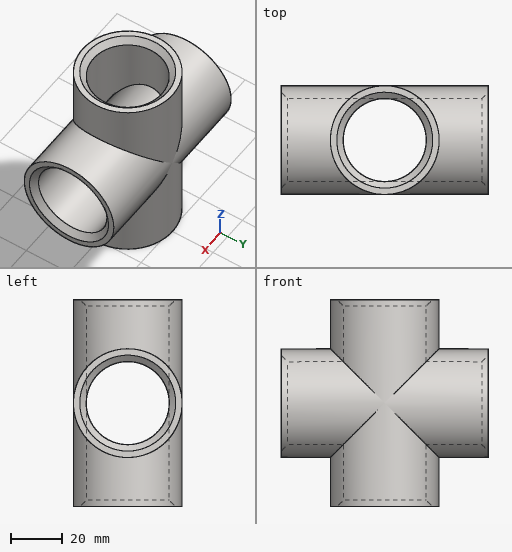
import cadquery as cq

length = 80.0
outer_diameter = 42.0
bore_diameter = 32.0
mouth_diameter = 37.0

bevel_depth = (mouth_diameter - bore_diameter) / 2

AXES = ("YZ", "XY")


def outer_cylinder(plane):
    return cq.Workplane(plane).circle(outer_diameter / 2).extrude(length / 2, both=True)


def bevelled_bore(plane):
    """Through bore that widens to the mouth diameter at both ends."""
    half = length / 2
    bore_radius = bore_diameter / 2
    mouth_radius = mouth_diameter / 2
    profile = [
        (0, -half),
        (mouth_radius, -half),
        (bore_radius, -half + bevel_depth),
        (bore_radius, half - bevel_depth),
        (mouth_radius, half),
        (0, half),
    ]
    bore = cq.Workplane("XZ").polyline(profile).close().revolve(360, (0, 0), (0, 1))
    if plane == "YZ":
        bore = bore.rotate((0, 0, 0), (0, 1, 0), 90)
    return bore


result = outer_cylinder(AXES[0]).union(outer_cylinder(AXES[1]))
for axis_plane in AXES:
    result = result.cut(bevelled_bore(axis_plane))